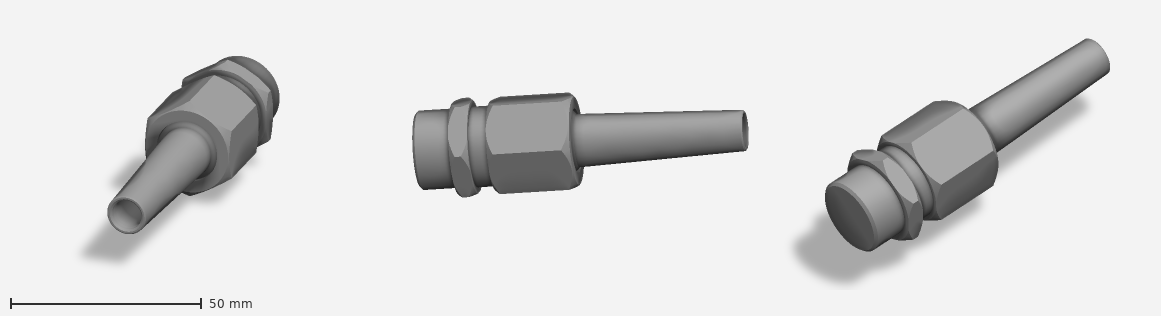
import cadquery as cq
import math

total_length = 87.0

thread_diameter = 20.9
thread_end_diameter = 19.4
thread_chamfer = (thread_diameter - thread_end_diameter) / 2
thread_length = 10.0

flange_across_flats = 24.1
flange_thickness = 5.05
flange_face_diameter = 24.45

collar_diameter = 21.2
collar_length = 4.9

nut_across_flats = 23.6
nut_length = 22.1
nut_front_face_diameter = 23.1
nut_back_face_diameter = 23.6
nut_bore_diameter = 17.0

shank_diameter = 16.7
spout_base_diameter = 14.0
spout_tip_diameter = 10.9
spout_tip_chamfer = 0.35
shoulder_projection = 0.4

bore_diameter = 8.2
bore_mouth_diameter = 9.2
bore_depth = 43.5

flange_back = total_length - thread_length
flange_front = flange_back - flange_thickness
nut_back = flange_front - collar_length
nut_front = nut_back - nut_length
spout_base = nut_front - shoulder_projection
shoulder_back = spout_base + (shank_diameter - spout_base_diameter) / 2


def revolve_about_y(points):
    """Turn a closed (radius, Y) outline about the Y axis."""
    return cq.Workplane("XY").polyline(points).close().revolve(360, (0, 0, 0), (0, 1, 0))


def crowned_hexagon(across_flats, front, back, front_face_diameter, back_face_diameter):
    """Hexagonal prism with flats facing +X and -X, its corners turned off at 45 degrees."""
    corner_radius = across_flats / math.sqrt(3)
    front_radius = front_face_diameter / 2
    back_radius = back_face_diameter / 2
    prism = (
        cq.Workplane("XZ", origin=(0, back, 0))
        .polygon(6, 2 * corner_radius)
        .extrude(back - front)
        .rotate((0, 0, 0), (0, 1, 0), 30)
    )
    crown = revolve_about_y([
        (0, front),
        (front_radius, front),
        (corner_radius, front + corner_radius - front_radius),
        (corner_radius, back - (corner_radius - back_radius)),
        (back_radius, back),
        (0, back),
    ])
    return prism.intersect(crown)


def make_nozzle():
    """Turned nozzle with a hexagonal flange and a blind bore from the tip."""
    turned = revolve_about_y([
        (0, 0),
        (spout_tip_diameter / 2 - spout_tip_chamfer, 0),
        (spout_tip_diameter / 2, spout_tip_chamfer),
        (spout_base_diameter / 2, spout_base),
        (shank_diameter / 2, shoulder_back),
        (shank_diameter / 2, nut_back),
        (collar_diameter / 2, nut_back),
        (collar_diameter / 2, flange_front),
        (thread_diameter / 2, flange_front),
        (thread_diameter / 2, total_length - thread_chamfer),
        (thread_end_diameter / 2, total_length),
        (0, total_length),
    ])
    flange = crowned_hexagon(
        flange_across_flats, flange_front, flange_back, flange_face_diameter, flange_face_diameter
    )
    mouth_chamfer = (bore_mouth_diameter - bore_diameter) / 2
    bore = revolve_about_y([
        (0, 0),
        (bore_mouth_diameter / 2, 0),
        (bore_diameter / 2, mouth_chamfer),
        (bore_diameter / 2, bore_depth),
        (0, bore_depth),
    ])
    return turned.union(flange).cut(bore)


def make_nut():
    """Hexagonal nut with a clearance bore, seated against the collar."""
    blank = crowned_hexagon(
        nut_across_flats, nut_front, nut_back, nut_front_face_diameter, nut_back_face_diameter
    )
    clearance = (
        cq.Workplane("XZ", origin=(0, nut_back, 0)).circle(nut_bore_diameter / 2).extrude(nut_length)
    )
    return blank.cut(clearance)


nozzle = make_nozzle()
nut = make_nut()

result = cq.Compound.makeCompound([nozzle.val(), nut.val()])